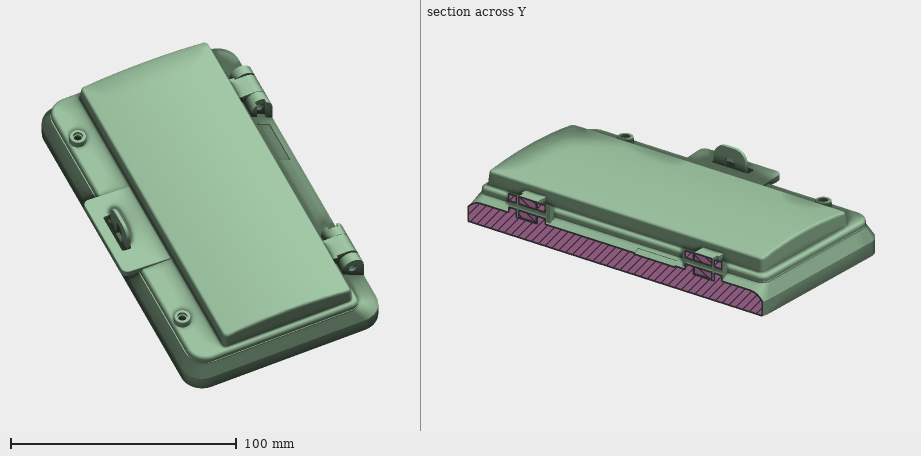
import cadquery as cq
import math

BASE_LENGTH = 165.0
BASE_DEPTH = 95.0
SKIRT_HEIGHT = 7.0
SHOULDER_TOP_Z = 13.2
BASE_TOP_Z = 13.8
BASE_BACK_Y = BASE_DEPTH / 2
SIDE_INSET = 2.9
FRONT_INSET = 3.0
BACK_INSET = 10.8
BASE_CORNER_RADIUS = 10.0
RIM_BACK_RADIUS = 4.0

RIM_HALF_LENGTH = BASE_LENGTH / 2 - SIDE_INSET
RIM_FRONT_Y = -BASE_DEPTH / 2 + FRONT_INSET
RIM_BACK_Y = BASE_BACK_Y - BACK_INSET
BACK_SLOPE_ANGLE = math.atan2(SHOULDER_TOP_Z - SKIRT_HEIGHT, BACK_INSET)

RECESS_X_MIN = -32.8
RECESS_LENGTH = 22.0
RECESS_CENTER_Y = 41.3
RECESS_PLAN_WIDTH = 6.0
RECESS_DEPTH = 0.5

HINGE_OUTER_X = 59.4
HINGE_RADIUS = 5.25
HINGE_AXIS_Y = BASE_BACK_Y - HINGE_RADIUS
HINGE_AXIS_Z = 15.0
LUG_WIDTH = 4.6
PIN_HOLE_DIAMETER = 4.05
GUSSET_WIDTH = 2.1
GUSSET_GAP = 4.6
OUTER_GAP = 1.1
INNER_GAP = 0.2
BARREL_WIDTH = 10.0
BARREL_CLEARANCE = 0.2
INNER_LUG_START = LUG_WIDTH + OUTER_GAP + BARREL_WIDTH + INNER_GAP
GUSSET_START = INNER_LUG_START + LUG_WIDTH

LOOP_WIDTH = 17.8
LOOP_THICKNESS = 1.5
LOOP_FRONT_Y = RIM_FRONT_Y
LOOP_TOP_Z = 27.93
LOOP_CORNER_RADIUS = 6.0
LOOP_HOLE_WIDTH = 6.0
LOOP_HOLE_TOP_Z = 22.9

LID_SIDE_INSET = 0.3
LID_FRONT_INSET = 0.5
LID_TOP_Z = 16.6
LID_FRONT_RADIUS = 8.7
LID_EDGE_FILLET = 1.7

DOME_HALF_LENGTH = 76.8
DOME_FRONT_Y = -28.8
DOME_BACK_Y = 34.25
DOME_CORNER_RADIUS = 2.0
DOME_DRAFT = 5.0
DOME_CROWN_Z = 26.0
DOME_EDGE_Z = 23.6
DOME_TOP_FILLET = 1.3
DOME_TRIM_ALLOWANCE = 1.0
DOME_FOOT_FILLET = 0.7
DOME_CENTER_Y = (DOME_FRONT_Y + DOME_BACK_Y) / 2
DOME_WIDTH = DOME_BACK_Y - DOME_FRONT_Y

BOSS_SPACING = 110.0
BOSS_Y = -39.0
BOSS_FOOT_DIAMETER = 8.2
BOSS_TOP_Z = 19.5
BOSS_DRAFT = 7.0
BOSS_TOP_FILLET = 0.4
BOSS_COUNTERBORE_DIAMETER = 4.5
BOSS_COUNTERBORE_DEPTH = 1.5
BOSS_HOLE_DIAMETER = 3.5

TAB_WIDTH = 44.0
TAB_FRONT_Y = -52.37
TAB_BACK_Y = DOME_FRONT_Y - DOME_FOOT_FILLET
TAB_BOTTOM_Z = 15.1
TAB_BACK_TOP_Z = 17.2
TAB_FRONT_TOP_Z = 18.75
TAB_CORNER_RADIUS = 3.0
TAB_EDGE_FILLET = 0.5
SLOT_LENGTH = 20.8
SLOT_CLEARANCE = 0.1
SLOT_BACK_Y = LOOP_FRONT_Y + LOOP_THICKNESS + SLOT_CLEARANCE
SLOT_FRONT_Y = -47.5
SLOT_CORNER_RADIUS = 1.0


def outline(z, half_length, front_y, back_y, front_radius, back_radius):
    """Rounded rectangle at height z, with separate front and back corner radii."""
    f, b = front_radius, back_radius
    cf = f * (1 - math.sqrt(0.5))
    cb = b * (1 - math.sqrt(0.5))
    left, right = -half_length, half_length
    return (
        cq.Workplane("XY", origin=(0, 0, z))
        .moveTo(left + f, front_y)
        .lineTo(right - f, front_y)
        .threePointArc((right - cf, front_y + cf), (right, front_y + f))
        .lineTo(right, back_y - b)
        .threePointArc((right - cb, back_y - cb), (right - b, back_y))
        .lineTo(left + b, back_y)
        .threePointArc((left + cb, back_y - cb), (left, back_y - b))
        .lineTo(left, front_y + f)
        .threePointArc((left + cf, front_y + cf), (left + f, front_y))
        .close()
    )


def box(x_min, x_max, y_min, y_max, z_min, z_max):
    size = (x_max - x_min, y_max - y_min, z_max - z_min)
    return cq.Workplane("XY", origin=(x_min, y_min, z_min)).box(*size, centered=False)


def hinge_span(side, start, width):
    """X limits of a hinge piece; side is -1 for the left hinge and 1 for the right."""
    outer = side * (HINGE_OUTER_X - start)
    inner = side * (HINGE_OUTER_X - start - width)
    return min(outer, inner), max(outer, inner)


def hinge_cylinder(x_limits, radius):
    x_min, x_max = x_limits
    return (
        cq.Workplane("YZ", origin=(x_min, HINGE_AXIS_Y, HINGE_AXIS_Z))
        .circle(radius)
        .extrude(x_max - x_min)
    )


def lug_blank(x_limits):
    """Round-topped hinge lug reaching down into the base."""
    leg = box(
        *x_limits, HINGE_AXIS_Y - HINGE_RADIUS, BASE_BACK_Y, SKIRT_HEIGHT / 2, HINGE_AXIS_Z
    )
    return hinge_cylinder(x_limits, HINGE_RADIUS).union(leg)


def hinge_lugs(side):
    lugs = cq.Workplane("XY")
    for start in (0, INNER_LUG_START):
        lugs = lugs.union(lug_blank(hinge_span(side, start, LUG_WIDTH)))

    gusset_span = hinge_span(side, GUSSET_START, GUSSET_WIDTH)
    half_gap = GUSSET_GAP / 2
    gap_limits = (HINGE_AXIS_Y - half_gap, HINGE_AXIS_Y + half_gap)
    pin_channel = box(*gusset_span, *gap_limits, 0, HINGE_AXIS_Z + HINGE_RADIUS)
    return lugs.union(lug_blank(gusset_span).cut(pin_channel))


def label_recess():
    """Shallow block sunk square to the back slope."""
    center_x = RECESS_X_MIN + RECESS_LENGTH / 2
    center_z = SKIRT_HEIGHT + (BASE_BACK_Y - RECESS_CENTER_Y) * math.tan(BACK_SLOPE_ANGLE)
    slope_plane = cq.Plane(
        origin=(center_x, RECESS_CENTER_Y, center_z),
        xDir=(1, 0, 0),
        normal=(0, math.sin(BACK_SLOPE_ANGLE), math.cos(BACK_SLOPE_ANGLE)),
    )
    slope_width = RECESS_PLAN_WIDTH / math.cos(BACK_SLOPE_ANGLE)
    return cq.Workplane(slope_plane).rect(RECESS_LENGTH, slope_width).extrude(-RECESS_DEPTH)


def padlock_loop():
    half_width = LOOP_WIDTH / 2
    back_y = LOOP_FRONT_Y + LOOP_THICKNESS
    plate = box(-half_width, half_width, LOOP_FRONT_Y, back_y, SHOULDER_TOP_Z, LOOP_TOP_Z)
    plate = plate.edges("|Y and >Z").fillet(LOOP_CORNER_RADIUS)

    hole_radius = LOOP_HOLE_WIDTH / 2
    arch_z = LOOP_HOLE_TOP_Z - hole_radius
    opening = box(-hole_radius, hole_radius, LOOP_FRONT_Y, back_y, BASE_TOP_Z, arch_z)
    arch = (
        cq.Workplane("XZ", origin=(0, back_y, arch_z)).circle(hole_radius).extrude(LOOP_THICKNESS)
    )
    return plate.cut(opening).cut(arch)


def make_base():
    full = (BASE_LENGTH / 2, -BASE_DEPTH / 2, BASE_BACK_Y, BASE_CORNER_RADIUS, BASE_CORNER_RADIUS)
    rim = (RIM_HALF_LENGTH, RIM_FRONT_Y, RIM_BACK_Y, BASE_CORNER_RADIUS, RIM_BACK_RADIUS)

    body = outline(0, *full).extrude(SKIRT_HEIGHT)
    lower_wire = outline(SKIRT_HEIGHT, *full).val()
    upper_wire = outline(SHOULDER_TOP_Z, *rim).val()
    shoulder = cq.Solid.makeLoft([lower_wire, upper_wire], True)
    body = body.union(cq.Workplane(shoulder))
    body = body.union(outline(SHOULDER_TOP_Z, *rim).extrude(BASE_TOP_Z - SHOULDER_TOP_Z))
    body = body.cut(label_recess())

    lug_spacing = INNER_LUG_START - LUG_WIDTH
    for side in (-1, 1):
        relief = hinge_span(side, LUG_WIDTH, lug_spacing)
        body = body.cut(hinge_cylinder(relief, HINGE_RADIUS + BARREL_CLEARANCE))
        body = body.union(hinge_lugs(side))
        bore = hinge_span(side, 0, GUSSET_START + GUSSET_WIDTH)
        body = body.cut(hinge_cylinder(bore, PIN_HOLE_DIAMETER / 2))
    return body.union(padlock_loop())


def make_dome():
    """Drafted block under an arched roof."""
    block = (
        cq.Workplane("XY", origin=(0, DOME_CENTER_Y, LID_TOP_Z))
        .rect(2 * DOME_HALF_LENGTH, DOME_WIDTH)
        .extrude(DOME_CROWN_Z - LID_TOP_Z + DOME_TRIM_ALLOWANCE, taper=DOME_DRAFT)
        .edges("not(|X or |Y)")
        .fillet(DOME_CORNER_RADIUS)
    )
    under_roof = (
        cq.Workplane("YZ", origin=(-DOME_HALF_LENGTH, 0, 0))
        .moveTo(DOME_FRONT_Y, LID_TOP_Z)
        .lineTo(DOME_FRONT_Y, DOME_EDGE_Z)
        .threePointArc((DOME_CENTER_Y, DOME_CROWN_Z), (DOME_BACK_Y, DOME_EDGE_Z))
        .lineTo(DOME_BACK_Y, LID_TOP_Z)
        .close()
        .extrude(2 * DOME_HALF_LENGTH)
    )
    return block.intersect(under_roof).faces(">Z").edges().fillet(DOME_TOP_FILLET)


def dome_foot_edges():
    """Selects the edges where the dome meets the top of the plate."""
    margin = 0.1
    return cq.selectors.BoxSelector(
        (-DOME_HALF_LENGTH - margin, DOME_FRONT_Y - margin, LID_TOP_Z - margin),
        (DOME_HALF_LENGTH + margin, DOME_BACK_Y + margin, LID_TOP_Z + margin),
    )


def make_tab():
    """Plate with a flat underside and a top that rises towards its free end."""
    side_profile = [
        (TAB_FRONT_Y, TAB_BOTTOM_Z),
        (TAB_FRONT_Y, TAB_FRONT_TOP_Z),
        (TAB_BACK_Y, TAB_BACK_TOP_Z),
        (TAB_BACK_Y, TAB_BOTTOM_Z),
    ]
    side_plane = cq.Workplane("YZ", origin=(-TAB_WIDTH / 2, 0, 0))
    tab = side_plane.polyline(side_profile).close().extrude(TAB_WIDTH)
    tab = tab.edges("|Z and <Y").fillet(TAB_CORNER_RADIUS)
    return tab.edges("not(|Z or >Y)").fillet(TAB_EDGE_FILLET)


def loop_slot():
    half_length = SLOT_LENGTH / 2
    slot = box(-half_length, half_length, SLOT_FRONT_Y, SLOT_BACK_Y, BASE_TOP_Z, TAB_FRONT_TOP_Z)
    return slot.edges("|Z").fillet(SLOT_CORNER_RADIUS)


def hinge_knuckle(side):
    """Barrel between two lugs, carried by a flat-topped arm from the back of the dome."""
    barrel_span = hinge_span(side, LUG_WIDTH + OUTER_GAP, BARREL_WIDTH)
    arm_span = hinge_span(side, LUG_WIDTH, OUTER_GAP + BARREL_WIDTH)
    top_z = HINGE_AXIS_Z + HINGE_RADIUS
    barrel_front_y = HINGE_AXIS_Y - HINGE_RADIUS

    knuckle = hinge_cylinder(barrel_span, HINGE_RADIUS)
    knuckle = knuckle.union(box(*barrel_span, barrel_front_y, HINGE_AXIS_Y, HINGE_AXIS_Z, top_z))
    knuckle = knuckle.union(
        box(*arm_span, DOME_BACK_Y - DOME_CORNER_RADIUS, barrel_front_y, BASE_TOP_Z, top_z)
    )
    return knuckle.cut(hinge_cylinder(barrel_span, PIN_HOLE_DIAMETER / 2))


def add_screw_bosses(lid):
    foot_z = BASE_TOP_Z + LID_EDGE_FILLET
    for x in (-BOSS_SPACING / 2, BOSS_SPACING / 2):
        foot = cq.Workplane("XY", origin=(x, BOSS_Y, foot_z))
        boss = foot.circle(BOSS_FOOT_DIAMETER / 2).extrude(BOSS_TOP_Z - foot_z, taper=BOSS_DRAFT)
        boss = boss.faces(">Z").edges().fillet(BOSS_TOP_FILLET)
        lid = lid.union(boss)
        rim = cq.Workplane("XY", origin=(x, BOSS_Y, BOSS_TOP_Z))
        lid = lid.cut(rim.circle(BOSS_COUNTERBORE_DIAMETER / 2).extrude(-BOSS_COUNTERBORE_DEPTH))
        lid = lid.cut(rim.circle(BOSS_HOLE_DIAMETER / 2).extrude(BASE_TOP_Z - BOSS_TOP_Z))
    return lid


def make_lid():
    plate = outline(
        BASE_TOP_Z,
        RIM_HALF_LENGTH - LID_SIDE_INSET,
        RIM_FRONT_Y + LID_FRONT_INSET,
        RIM_BACK_Y,
        LID_FRONT_RADIUS,
        RIM_BACK_RADIUS,
    ).extrude(LID_TOP_Z - BASE_TOP_Z)
    plate = plate.faces(">Z").edges().fillet(LID_EDGE_FILLET)

    lid = plate.union(make_dome())
    lid = lid.edges(dome_foot_edges()).fillet(DOME_FOOT_FILLET)
    lid = add_screw_bosses(lid)
    lid = lid.union(make_tab()).cut(loop_slot())
    for side in (-1, 1):
        lid = lid.union(hinge_knuckle(side))
    return lid


base = make_base().solids()
lid = make_lid().solids()
result = cq.Compound.makeCompound([base.val(), lid.val()])